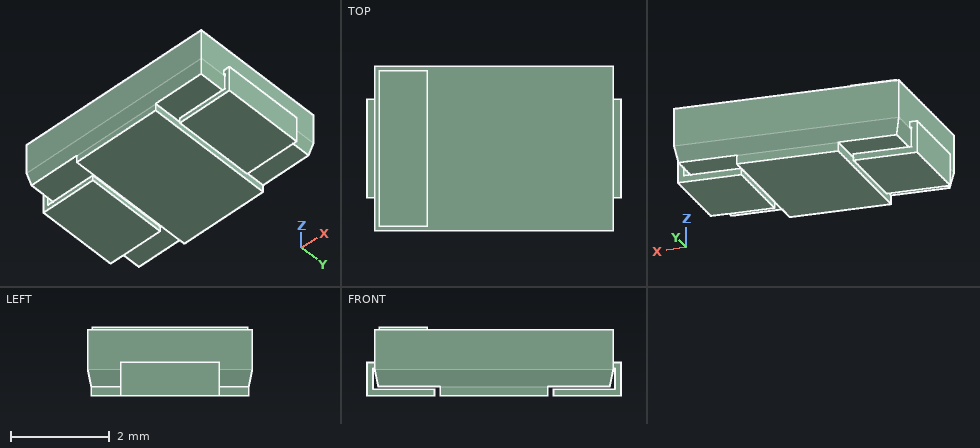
import cadquery as cq

overall_length = 5.16
overall_height = 1.4

housing_length = 4.85
housing_width = 3.35
housing_bottom_z = 0.19
parting_z = 0.54
taper_inset = 0.07
pad_length = 2.19

mark_thickness = 0.05
mark_length = 0.98
mark_width = 3.16
mark_end_margin = 0.095
housing_top_z = overall_height - mark_thickness

terminal_width = 2.0
terminal_height = 0.68
terminal_foot_length = 1.37
foot_thickness = 0.14
wall_thickness = 0.125
lip_height = 0.125


def make_housing():
    """Return the moulded housing with its standoff pad."""
    bottom_length = housing_length - 2 * taper_inset
    bottom_width = housing_width - 2 * taper_inset
    upper = (
        cq.Workplane("XY", origin=(0, 0, parting_z))
        .rect(housing_length, housing_width)
        .extrude(housing_top_z - parting_z)
    )
    tapered = (
        cq.Workplane("XY", origin=(0, 0, housing_bottom_z))
        .rect(bottom_length, bottom_width)
        .workplane(offset=parting_z - housing_bottom_z)
        .rect(housing_length, housing_width)
        .loft(ruled=True)
    )
    pad = cq.Workplane("XY").rect(pad_length, bottom_width).extrude(housing_bottom_z)
    return upper.union(tapered).union(pad)


def make_mark():
    """Return the thin plate near the -X end of the housing top."""
    center_x = -housing_length / 2 + mark_end_margin + mark_length / 2
    return (
        cq.Workplane("XY", origin=(center_x, 0, housing_top_z))
        .rect(mark_length, mark_width)
        .extrude(mark_thickness)
    )


def make_terminal(side):
    """Return the terminal at the -X (side = -1) or +X (side = 1) end."""
    outer_x = side * overall_length / 2
    inner_x = outer_x - side * wall_thickness
    foot_end_x = outer_x - side * terminal_foot_length
    housing_face_x = side * housing_length / 2
    lip_bottom_z = terminal_height - lip_height
    profile = [
        (outer_x, 0),
        (foot_end_x, 0),
        (foot_end_x, foot_thickness),
        (inner_x, foot_thickness),
        (inner_x, lip_bottom_z),
        (housing_face_x, lip_bottom_z),
        (housing_face_x, terminal_height),
        (outer_x, terminal_height),
    ]
    return (
        cq.Workplane("XZ")
        .polyline(profile)
        .close()
        .extrude(terminal_width / 2, both=True)
    )


housing = make_housing()
mark = make_mark()
terminals = [make_terminal(side) for side in (-1, 1)]

result = cq.Compound.makeCompound(
    [housing.val(), mark.val(), *[terminal.val() for terminal in terminals]]
)